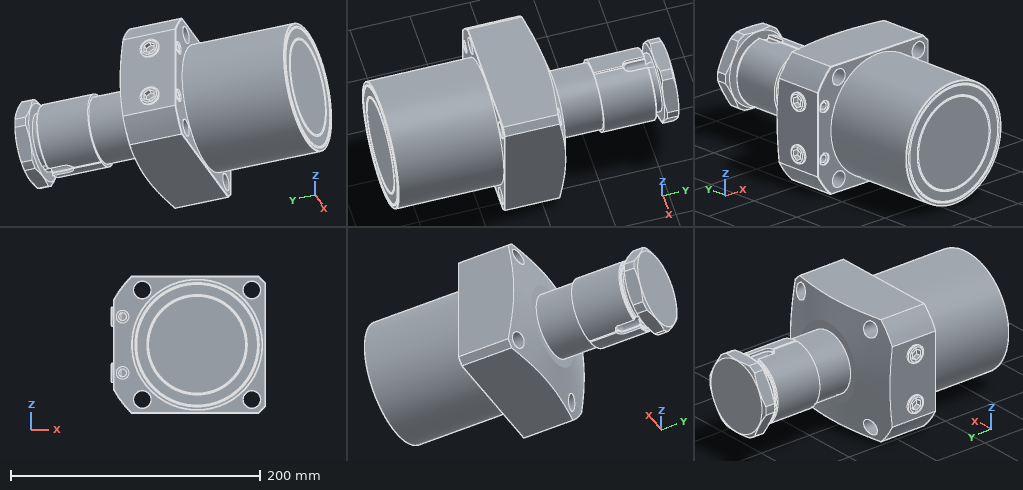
import cadquery as cq
import math


FLANGE_HALF = 55.0
FLANGE_LEFT = 67.0
FLANGE_HEIGHT = 56.5
FLANGE_EDGE_CHAMFER = 0.5
CORNER_RADIUS = 76.0
CORNER_CHAMFER = 5.5
CONE_FLAT_RADIUS = 35.0
CONE_ANGLE = 15
BARREL_RADIUS = 52.5
BARREL_LENGTH = 87.8
BARREL_EDGE_CHAMFER = 0.5
BOLT_PITCH = 87.8
BOLT_HOLE_RADIUS = 7.0

RING_RADIUS = 49.2
RING_DEPTH = 19.2
PISTON_RADIUS = 39.5
PISTON_TOP = 19.2
RIM_CHAMFER = 0.7

ROD_RADIUS = 27.5
ROD_SHOULDER = 134.5
SHOULDER_CHAMFER = 1.0
NECK_RADIUS = 24.2
NECK_WAIST_RADIUS = 23.5
NECK_TAPER_Y = 137.3
GROOVE_RADIUS = 4.3
GROOVE_AXIS_RADIUS = 27.5
GROOVE_END = 120.0

HEX_BOTTOM = 140.2
HEX_HEIGHT = 12.0
HEX_ACROSS_FLATS = 65.0
HEX_CORNER_RADIUS = 35.5
HEX_CHAMFER_RADIAL = 3.4
HEX_CHAMFER_AXIAL = 1.5
HEAD_TOP = HEX_BOTTOM + HEX_HEIGHT

SLEEVE_RADIUS = 30.0
SLEEVE_BOTTOM = 90.2
SLEEVE_CHAMFER = 0.7
SPLIT_GAP = 1.5
SLOT_RADIUS = 5.5

PORT_X = -59.8
PORT_PITCH = 45.0
PORT_RECESS_RADIUS = 5.0
PORT_RECESS_DEPTH = 1.2
PORT_HOLE_RADIUS = 3.0
PLUG_Y = 22.0
PLUG_HEAD_RADIUS = 8.0
PLUG_HEAD_HEIGHT = 2.2
PLUG_HEAD_CHAMFER = 0.7
PLUG_HEAD_BEVEL = 1.5
PLUG_SHANK_RADIUS = 6.5
PLUG_SHANK_LENGTH = 6.0
SOCKET_ACROSS_FLATS = 8.5
SOCKET_DEPTH = 4.8

SIDES = (-1, 1)


def cylinder(radius, start, end, x=0, z=0):
    """Round bar along Y between two Y positions."""
    return cq.Workplane("XZ", origin=(x, start, z)).circle(radius).extrude(start - end)


def turned(profile):
    """Solid of revolution about the Y axis from (radius, Y) points."""
    return cq.Workplane("XY").polyline(profile).close().revolve(360, (0, 0), (0, 1))


def bar_along_x(radius, start, length, z):
    """Round bar that starts at X = start, at the height of a plug, and runs toward +X."""
    return cq.Workplane("YZ", origin=(start, PLUG_Y, z)).circle(radius).extrude(length)


def make_flange():
    arc_x = -math.sqrt(CORNER_RADIUS**2 - FLANGE_HALF**2)
    arc_z = math.sqrt(CORNER_RADIUS**2 - FLANGE_LEFT**2)
    mid_angle = (math.atan2(FLANGE_HALF, arc_x) + math.atan2(arc_z, -FLANGE_LEFT)) / 2
    mid_x = CORNER_RADIUS * math.cos(mid_angle)
    mid_z = CORNER_RADIUS * math.sin(mid_angle)
    cut = FLANGE_HALF - CORNER_CHAMFER
    flange = (
        cq.Workplane("XZ")
        .moveTo(arc_x, FLANGE_HALF)
        .lineTo(cut, FLANGE_HALF)
        .lineTo(FLANGE_HALF, cut)
        .lineTo(FLANGE_HALF, -cut)
        .lineTo(cut, -FLANGE_HALF)
        .lineTo(arc_x, -FLANGE_HALF)
        .threePointArc((mid_x, -mid_z), (-FLANGE_LEFT, -arc_z))
        .lineTo(-FLANGE_LEFT, arc_z)
        .threePointArc((mid_x, mid_z), (arc_x, FLANGE_HALF))
        .close()
        .extrude(-FLANGE_HEIGHT)
    )
    flange = flange.faces("<Y").chamfer(FLANGE_EDGE_CHAMFER)
    cone_radius = 2 * FLANGE_HALF
    cone_drop = (cone_radius - CONE_FLAT_RADIUS) * math.tan(math.radians(CONE_ANGLE))
    envelope = turned([
        (0, 0),
        (cone_radius, 0),
        (cone_radius, FLANGE_HEIGHT - cone_drop),
        (CONE_FLAT_RADIUS, FLANGE_HEIGHT),
        (0, FLANGE_HEIGHT),
    ])
    return flange.intersect(envelope)


def make_housing():
    barrel = cylinder(BARREL_RADIUS, -BARREL_LENGTH, 0).faces("<Y").chamfer(BARREL_EDGE_CHAMFER)
    housing = make_flange().union(barrel)
    for x_side in SIDES:
        for z_side in SIDES:
            x = x_side * BOLT_PITCH / 2
            z = z_side * BOLT_PITCH / 2
            housing = housing.cut(cylinder(BOLT_HOLE_RADIUS, 0, FLANGE_HEIGHT, x, z))
    for z_side in SIDES:
        z = z_side * PORT_PITCH / 2
        housing = housing.cut(cylinder(PORT_RECESS_RADIUS, 0, PORT_RECESS_DEPTH, PORT_X, z))
        housing = housing.cut(cylinder(PORT_HOLE_RADIUS, 0, PLUG_Y, PORT_X, z))
        housing = housing.cut(bar_along_x(PLUG_SHANK_RADIUS, -FLANGE_LEFT, PLUG_SHANK_LENGTH, z))
    housing = housing.cut(cylinder(RING_RADIUS, -BARREL_LENGTH, RING_DEPTH - BARREL_LENGTH))
    housing = housing.cut(cylinder(PISTON_RADIUS, -BARREL_LENGTH, PISTON_TOP))
    housing = housing.cut(cylinder(ROD_RADIUS, PISTON_TOP, FLANGE_HEIGHT))
    return housing.faces("<Y").edges(cq.selectors.RadiusNthSelector(0)).chamfer(RIM_CHAMFER)


def make_ring():
    """Gland ring between the barrel and the piston, with both front edges broken."""
    ring = cylinder(RING_RADIUS, -BARREL_LENGTH, RING_DEPTH - BARREL_LENGTH)
    ring = ring.cut(cylinder(PISTON_RADIUS, -BARREL_LENGTH, RING_DEPTH - BARREL_LENGTH))
    return ring.faces("<Y").chamfer(RIM_CHAMFER)


def make_hex_head():
    circumscribed = HEX_ACROSS_FLATS / math.cos(math.pi / 6)
    prism = cq.Workplane("XZ", origin=(0, HEX_BOTTOM, 0)).polygon(6, circumscribed).extrude(-HEX_HEIGHT)
    face_radius = HEX_CORNER_RADIUS - HEX_CHAMFER_RADIAL
    envelope = turned([
        (0, HEX_BOTTOM),
        (face_radius, HEX_BOTTOM),
        (HEX_CORNER_RADIUS, HEX_BOTTOM + HEX_CHAMFER_AXIAL),
        (HEX_CORNER_RADIUS, HEAD_TOP - HEX_CHAMFER_AXIAL),
        (face_radius, HEAD_TOP),
        (0, HEAD_TOP),
    ])
    return prism.intersect(envelope)


def make_piston():
    """Piston, rod and hexagonal head in one piece."""
    piston = turned([
        (0, -BARREL_LENGTH),
        (PISTON_RADIUS - RIM_CHAMFER, -BARREL_LENGTH),
        (PISTON_RADIUS, RIM_CHAMFER - BARREL_LENGTH),
        (PISTON_RADIUS, PISTON_TOP),
        (ROD_RADIUS, PISTON_TOP),
        (ROD_RADIUS, ROD_SHOULDER - SHOULDER_CHAMFER),
        (ROD_RADIUS - SHOULDER_CHAMFER, ROD_SHOULDER),
        (NECK_WAIST_RADIUS, ROD_SHOULDER),
        (NECK_RADIUS, NECK_TAPER_Y),
        (NECK_RADIUS, HEX_BOTTOM),
        (0, HEX_BOTTOM),
    ])
    for z_side in SIDES:
        z = z_side * GROOVE_AXIS_RADIUS
        round_end = cq.Workplane("XY", origin=(0, GROOVE_END, z)).sphere(GROOVE_RADIUS)
        piston = piston.cut(cylinder(GROOVE_RADIUS, GROOVE_END, HEX_BOTTOM, 0, z).union(round_end))
    return piston.union(make_hex_head())


def make_sleeve_half(side):
    """Half of the split sleeve on the -X (side = -1) or +X (side = 1) side of the rod."""
    sleeve = cylinder(SLEEVE_RADIUS, SLEEVE_BOTTOM, ROD_SHOULDER)
    sleeve = sleeve.faces(">Y").edges().chamfer(SLEEVE_CHAMFER)
    sleeve = sleeve.cut(cylinder(ROD_RADIUS, SLEEVE_BOTTOM, ROD_SHOULDER))
    opening_length = ROD_SHOULDER - GROOVE_END
    opening = (
        cq.Workplane("XY", origin=(0, GROOVE_END, 0))
        .circle(SLOT_RADIUS)
        .extrude(SLEEVE_RADIUS, both=True)
        .union(
            cq.Workplane("XY", origin=(0, GROOVE_END + opening_length / 2, 0))
            .rect(2 * SLOT_RADIUS, opening_length)
            .extrude(SLEEVE_RADIUS, both=True)
        )
    )
    half_space = cq.Workplane("XY").box(
        SLEEVE_RADIUS, HEAD_TOP, 2 * SLEEVE_RADIUS, centered=(True, False, True)
    ).translate((side * (SLEEVE_RADIUS + SPLIT_GAP) / 2, 0, 0))
    return sleeve.cut(opening).intersect(half_space)


def make_plug(z):
    """Screw plug with a hexagon socket, seated on the -X face of the flange."""
    tip = -FLANGE_LEFT - PLUG_HEAD_HEIGHT
    head = bar_along_x(PLUG_HEAD_RADIUS, tip, PLUG_HEAD_HEIGHT, z)
    head = head.faces("<X").chamfer(PLUG_HEAD_CHAMFER, PLUG_HEAD_BEVEL)
    shank = bar_along_x(PLUG_SHANK_RADIUS, -FLANGE_LEFT, PLUG_SHANK_LENGTH, z)
    socket = (
        cq.Workplane("YZ", origin=(tip, PLUG_Y, z))
        .transformed(rotate=(0, 0, 30))
        .polygon(6, SOCKET_ACROSS_FLATS / math.cos(math.pi / 6))
        .extrude(SOCKET_DEPTH)
    )
    return head.union(shank).cut(socket)


piston = make_piston()
ring = make_ring()
plugs = [make_plug(side * PORT_PITCH / 2) for side in SIDES]
sleeve_halves = [make_sleeve_half(side) for side in SIDES]
housing = make_housing()

bodies = [housing, ring, piston, *sleeve_halves, *plugs]
result = cq.Compound.makeCompound([body.val() for body in bodies])